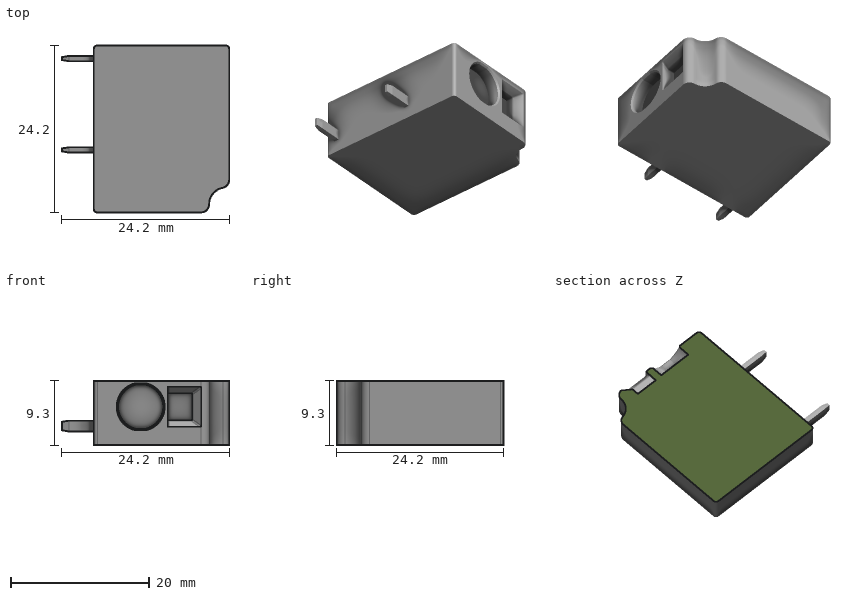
import cadquery as cq
import math


BODY_LENGTH = 19.6
BODY_DEPTH = 24.15
BODY_HEIGHT = 9.3
CORNER_RADIUS = 0.5

NOTCH_LEFT_X = 16.7
NOTCH_RADIUS = 2.4
NOTCH_BLEND_RADIUS = 1.2

PIN_LENGTH = 4.6
PIN_TIP_LENGTH = 1.0
PIN_WIDTH = 0.8
PIN_HEIGHT = 1.6
PIN_TIP_WIDTH = 0.45
PIN_TIP_HEIGHT = 1.25
PIN_Z = 2.76
PIN_PITCH = 13.2
REAR_PIN_Y = 22.25
PIN_POSITIONS_Y = (REAR_PIN_Y - PIN_PITCH, REAR_PIN_Y)

OPENING_Z = 5.55

RECESS_X = 6.79
RECESS_DIAMETER = 6.5
RECESS_FLAT_HEIGHT = 6.3
RECESS_DEPTH = 2.0
RECESS_CHAMFER = 0.23
CHAMFER_ANGLE = 45

ENTRY_LEFT_X = 10.68
ENTRY_WIDTH = 3.55
ENTRY_HEIGHT = 3.95
MOUTH_WIDTH = 4.85
MOUTH_HEIGHT = 5.85
FUNNEL_DEPTH = 0.95
ENTRY_DEPTH = 2.1
ENTRY_CORNER_RADIUS = 0.2
THROAT_RADIUS = 0.25

SELECTION_MARGIN = 0.01


def front_plane(x, y, z):
    """Sketch plane facing the front (-Y), with its own axes along X and Z."""
    return cq.Workplane(cq.Plane(origin=(x, y, z), xDir=(1, 0, 0), normal=(0, -1, 0)))


def make_body():
    """Block with rounded upright edges and the S-shaped corner notch."""
    notch_x = NOTCH_LEFT_X + NOTCH_RADIUS
    notch_y = NOTCH_BLEND_RADIUS
    blend_x = BODY_LENGTH - NOTCH_BLEND_RADIUS
    centre_distance = NOTCH_RADIUS + NOTCH_BLEND_RADIUS
    blend_angle = math.acos((blend_x - notch_x) / centre_distance)
    blend_y = notch_y + centre_distance * math.sin(blend_angle)

    notch_end = (
        notch_x + NOTCH_RADIUS * math.cos(blend_angle),
        notch_y + NOTCH_RADIUS * math.sin(blend_angle),
    )
    outline = (
        cq.Workplane("XY")
        .moveTo(0, 0)
        .lineTo(NOTCH_LEFT_X - NOTCH_BLEND_RADIUS, 0)
        .tangentArcPoint((NOTCH_LEFT_X, NOTCH_BLEND_RADIUS), relative=False)
        .tangentArcPoint(notch_end, relative=False)
        .tangentArcPoint((BODY_LENGTH, blend_y), relative=False)
        .lineTo(BODY_LENGTH, BODY_DEPTH)
        .lineTo(0, BODY_DEPTH)
        .close()
    )
    body = outline.extrude(BODY_HEIGHT)
    return body.edges("|Z and (<X or >Y)").fillet(CORNER_RADIUS)


def make_pin(y):
    """Rectangular pin pointing to -X, tapered at its tip."""
    shank_length = PIN_LENGTH - PIN_TIP_LENGTH
    left_face = cq.Workplane(cq.Plane(origin=(0, y, PIN_Z), xDir=(0, -1, 0), normal=(-1, 0, 0)))
    shank = left_face.rect(PIN_WIDTH, PIN_HEIGHT).extrude(shank_length)
    tip = (
        left_face.workplane(offset=shank_length)
        .rect(PIN_WIDTH, PIN_HEIGHT)
        .workplane(offset=PIN_TIP_LENGTH)
        .rect(PIN_TIP_WIDTH, PIN_TIP_HEIGHT)
        .loft(ruled=True)
    )
    return shank.union(tip)


def recess_disc(y, diameter, flat_height):
    """Closed outline at depth y: a circle cut off flat above and below."""
    radius = diameter / 2
    half_height = flat_height / 2
    half_flat = math.sqrt(radius**2 - half_height**2)
    return (
        front_plane(RECESS_X, y, OPENING_Z)
        .moveTo(half_flat, -half_height)
        .threePointArc((radius, 0), (half_flat, half_height))
        .lineTo(-half_flat, half_height)
        .threePointArc((-radius, 0), (-half_flat, -half_height))
        .close()
    )


def make_recess():
    """Cutter for the flat-sided round recess with its chamfered rim."""
    bore = recess_disc(RECESS_DEPTH, RECESS_DIAMETER, RECESS_FLAT_HEIGHT).extrude(RECESS_DEPTH)
    rim = (
        recess_disc(0, RECESS_DIAMETER + 2 * RECESS_CHAMFER, RECESS_FLAT_HEIGHT + 2 * RECESS_CHAMFER)
        .extrude(-RECESS_CHAMFER, taper=CHAMFER_ANGLE)
    )
    return bore.union(rim)


def entry_outline(width, height):
    """Rounded rectangle whose left side lies on the entry's left wall."""
    outline = cq.Sketch().rect(width, height).vertices().fillet(ENTRY_CORNER_RADIUS)
    return outline.moved(cq.Location(cq.Vector(width / 2, 0, 0)))


def make_entry():
    """Cutter for the wire entry: straight pocket, rounded throat and flared funnel."""
    throat = entry_outline(ENTRY_WIDTH, ENTRY_HEIGHT)
    mouth = entry_outline(MOUTH_WIDTH, MOUTH_HEIGHT)
    pocket = (
        front_plane(ENTRY_LEFT_X, ENTRY_DEPTH, OPENING_Z)
        .placeSketch(throat)
        .extrude(ENTRY_DEPTH - FUNNEL_DEPTH)
    )
    funnel = (
        front_plane(ENTRY_LEFT_X, FUNNEL_DEPTH, OPENING_Z)
        .placeSketch(throat, mouth.moved(cq.Location(cq.Vector(0, 0, FUNNEL_DEPTH))))
        .loft(ruled=True)
    )
    entry = pocket.union(funnel)
    throat_edges = entry.edges(
        cq.selectors.BoxSelector(
            (0, FUNNEL_DEPTH - SELECTION_MARGIN, 0),
            (BODY_LENGTH, FUNNEL_DEPTH + SELECTION_MARGIN, BODY_HEIGHT),
        )
    )
    return throat_edges.fillet(THROAT_RADIUS)


result = make_body().cut(make_recess()).cut(make_entry())
for pin_y in PIN_POSITIONS_Y:
    result = result.union(make_pin(pin_y))